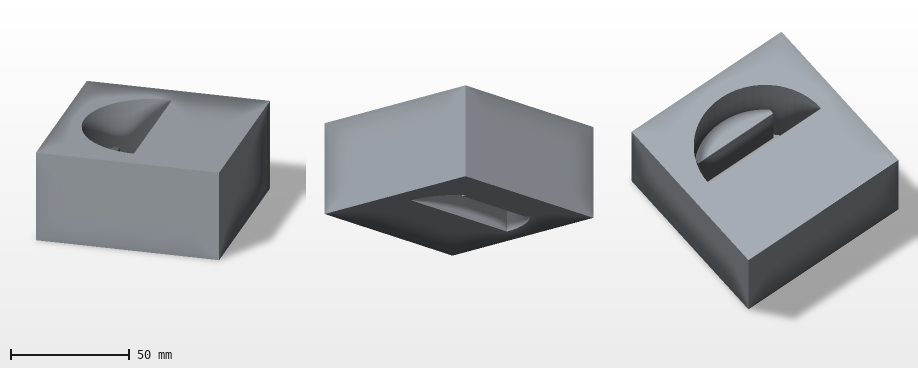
import cadquery as cq

side = 80.0
height = side / 2

opening_radius = 30.0

ledge_width = side / 2
ledge_face_x = -20.0
ledge_height = height / 2


def half_round(depth):
    """Half cylinder bulging toward -X, standing on Z = 0."""
    return (
        cq.Workplane("XY")
        .moveTo(0, opening_radius)
        .threePointArc((-opening_radius, 0), (0, -opening_radius))
        .close()
        .extrude(depth)
    )


def ledge():
    """Straight-faced ledge, trimmed to the curved wall of the opening."""
    ledge_reach = opening_radius + ledge_face_x
    bar = (
        cq.Workplane("XY")
        .center(ledge_face_x - ledge_reach / 2, 0)
        .rect(ledge_reach, ledge_width)
        .extrude(ledge_height)
    )
    return bar.intersect(half_round(ledge_height))


block = cq.Workplane("XY").rect(side, side).extrude(height)
opening = half_round(height).cut(ledge())
result = block.cut(opening)